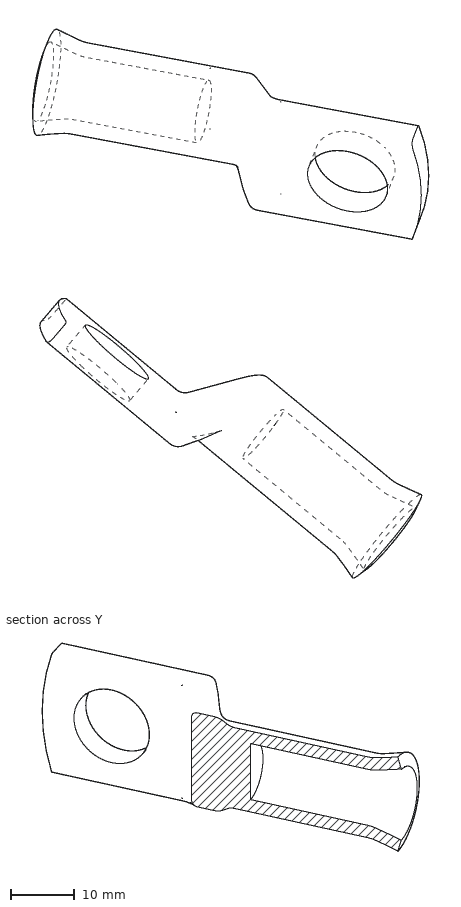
import cadquery as cq
import math


barrel_radius = 7.3
wall = 2.3
bore_radius = barrel_radius - wall
bore_depth = 26.0

flare_angle = math.radians(15)
flare_bend_radius = 6.0
mouth_radius = 8.5

total_length = 64.0
palm_width = 21.5
half_width = palm_width / 2
palm_thickness = 4.55
palm_bottom_y = -9.3
palm_top_y = palm_bottom_y + palm_thickness
tip_drop = 1.7
hole_x = 52.0
hole_diameter = 13.0

web_angle = math.radians(30)
web_thickness = palm_thickness
knee_radius = 2.0
knee_end_x = 37.3
knee_corner_x = knee_end_x - knee_radius * math.tan((math.pi / 2 - web_angle) / 2)
shoulder_y = palm_top_y + 0.05

root_fillet = 1.95
back_rim_fillet = 1.2
web_front_fillet = 1.2
palm_top_fillet = 0.4

head_start_x = 26.3

margin = 5.0
tolerance = 0.04


def web_back_x(y):
    """X of the web face toward the mouth, at height y."""
    return knee_corner_x - (y - palm_bottom_y) * math.tan(web_angle)


def web_front_x(y):
    """X of the web face toward the palm tip, at height y."""
    return web_back_x(y) + web_thickness / math.cos(web_angle)


def make_strip():
    """Bent strip of web and palm, wider than the finished palm, with rounded knees."""
    web_top_y = barrel_radius + margin
    end_x = total_length + margin
    outline = [
        (web_back_x(palm_bottom_y), palm_bottom_y),
        (end_x, palm_bottom_y),
        (end_x, palm_top_y),
        (web_front_x(palm_top_y), palm_top_y),
        (web_front_x(web_top_y), web_top_y),
        (web_back_x(web_top_y), web_top_y),
    ]
    strip = cq.Workplane("XY").polyline(outline).close().extrude(half_width + margin, both=True)
    for corner_x, corner_y in (outline[0], outline[3]):
        corner = cq.selectors.NearestToPointSelector((corner_x, corner_y, 0))
        strip = strip.edges("|Z").edges(corner).fillet(knee_radius)
    return strip


def add_barrel_stub(strip):
    """Run a piece of barrel into the web and fillet the oblique joint."""
    reach = barrel_radius + margin
    mid_web_shift = web_thickness / 2 / math.cos(web_angle)
    start_x = web_back_x(reach) - 2 * margin
    behind_web = (
        cq.Workplane("XY")
        .moveTo(start_x, -reach)
        .lineTo(web_back_x(-reach) + mid_web_shift, -reach)
        .lineTo(web_back_x(reach) + mid_web_shift, reach)
        .lineTo(start_x, reach)
        .close()
        .extrude(reach, both=True)
    )
    stub = cq.Workplane("YZ", origin=(start_x, 0, 0)).circle(barrel_radius).extrude(total_length)
    joined = strip.union(stub.intersect(behind_web))
    return joined.edges("%ELLIPSE").fillet(root_fillet)


def make_envelope():
    """Prism along X: palm sides joined to the barrel circle by planes tangent to it."""
    corner_distance = math.hypot(shoulder_y, half_width)
    corner_angle = math.atan2(half_width, shoulder_y)
    tangent_angle = corner_angle - math.acos(barrel_radius / corner_distance)
    tangent_y = barrel_radius * math.cos(tangent_angle)
    tangent_z = barrel_radius * math.sin(tangent_angle)
    return (
        cq.Workplane("YZ", origin=(head_start_x, 0, 0))
        .moveTo(palm_bottom_y, -half_width)
        .lineTo(shoulder_y, -half_width)
        .lineTo(tangent_y, -tangent_z)
        .threePointArc((barrel_radius, 0), (tangent_y, tangent_z))
        .lineTo(shoulder_y, half_width)
        .lineTo(palm_bottom_y, half_width)
        .close()
        .extrude(total_length)
    )


def make_tip_trim():
    """Prism along Y whose +X end is the tip arc."""
    side_x = total_length - tip_drop
    return (
        cq.Workplane("XZ")
        .moveTo(0, -half_width)
        .lineTo(side_x, -half_width)
        .threePointArc((total_length, 0), (side_x, half_width))
        .lineTo(0, half_width)
        .close()
        .extrude(total_length, both=True)
    )


def round_back_rim(head):
    """Round the sides and tapers of the web back face, on into the lower palm edges."""
    rim_box = cq.selectors.BoxSelector(
        (head_start_x + tolerance, palm_bottom_y, -palm_width),
        (knee_end_x - knee_radius, 0, palm_width),
    )
    rim = head.edges("%LINE").edges("not |X").edges("not |Z").edges(rim_box)
    return rim.fillet(back_rim_fillet)


def round_web_front(head):
    """Round the front rim of the web, over the barrel end and down both tapers."""
    return head.edges("%ELLIPSE").edges(">Y").fillet(web_front_fillet)


def round_palm_top(head):
    """Round the long upper edges of the palm and the rims where they meet the inner knee."""
    side_edges = [
        cq.selectors.BoxSelector(
            (0, palm_top_y - tolerance, side * half_width / 2),
            (total_length, palm_top_y + tolerance, side * palm_width),
        )
        for side in (1, -1)
    ]
    edges = head.edges(side_edges[0]).add(head.edges(side_edges[1]))
    return edges.fillet(palm_top_fillet)


def make_head():
    """Web and palm, from the first trace of the web to the tip."""
    head = add_barrel_stub(make_strip()).intersect(make_envelope()).intersect(make_tip_trim())
    head = round_back_rim(head.clean())
    head = round_web_front(head)
    return round_palm_top(head)


def flare_bend(end_x, tube_radius):
    """Start and middle points of the bend from the flare into a tube wall ending at end_x."""
    return [
        (
            end_x - flare_bend_radius * math.sin(angle),
            tube_radius + flare_bend_radius * (1 - math.cos(angle)),
        )
        for angle in (flare_angle, flare_angle / 2)
    ]


def make_barrel():
    """Tube with flared mouth and blind bore; the rim face is square to the flare."""
    slope = math.tan(flare_angle)
    lip_x = wall * math.sin(flare_angle)
    bend_rise = flare_bend_radius * (1 - math.cos(flare_angle))
    flare_length = (mouth_radius - barrel_radius - bend_rise) / slope
    bend_end_x = lip_x + flare_length + flare_bend_radius * math.sin(flare_angle)

    outer_start, outer_middle = flare_bend(bend_end_x, barrel_radius)
    inner_start, inner_middle = flare_bend(bend_end_x, bore_radius)
    mouth_inner_radius = inner_start[1] + inner_start[0] * slope
    return (
        cq.Workplane("XY")
        .moveTo(0, mouth_inner_radius)
        .lineTo(lip_x, mouth_radius)
        .lineTo(*outer_start)
        .threePointArc(outer_middle, (bend_end_x, barrel_radius))
        .lineTo(head_start_x, barrel_radius)
        .lineTo(head_start_x, 0)
        .lineTo(bore_depth, 0)
        .lineTo(bore_depth, bore_radius)
        .lineTo(bend_end_x, bore_radius)
        .threePointArc(inner_middle, inner_start)
        .close()
        .revolve(360, (0, 0, 0), (1, 0, 0))
    )


def make_palm_hole():
    """Cutter for the round hole through the palm."""
    plane = cq.Plane(origin=(hole_x, palm_bottom_y, 0), xDir=(1, 0, 0), normal=(0, 1, 0))
    return cq.Workplane(plane).circle(hole_diameter / 2).extrude(palm_thickness + margin)


result = make_head().union(make_barrel()).cut(make_palm_hole()).clean()